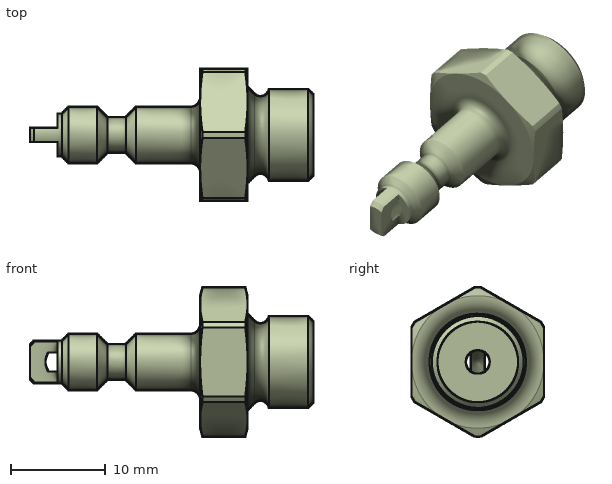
import cadquery as cq
import math

length = 30.0
tab_end = 2.9
nose_start = 3.4
hex_start = 18.0
hex_end = 23.0
thread_start = 25.25

tab_diameter = 4.55
shaft_diameter = 6.0
neck_diameter = 3.8
thread_diameter = 9.72
relief_diameter = 8.22
bore_diameter = 2.5

neck_start = 8.2
neck_end = 10.15

tab_chamfer = 0.45
thread_chamfer = 0.6
shaft_fillet = 1.0
relief_radius = 0.9

across_flats = 14.0
across_rounded_corners = 15.8
hex_chamfer_angle = math.radians(15)

tab_thickness = 1.53
bore_start = 1.95
drill_tip_angle = math.radians(118)


def revolved_profile(start, profile):
    """Revolve (x, radius) points about X, beginning on the axis at x = start."""
    points = [(start, 0)] + profile + [(profile[-1][0], 0)]
    return cq.Workplane("XY").polyline(points).close().revolve(360, (0, 0), (1, 0))


def turned_body():
    tab_r = tab_diameter / 2
    shaft_r = shaft_diameter / 2
    neck_r = neck_diameter / 2
    thread_r = thread_diameter / 2
    nose_rise = shaft_r - tab_r
    neck_depth = shaft_r - neck_r
    diagonal = math.sqrt(0.5)

    arc_r = relief_diameter / 2 + relief_radius
    arc_x = thread_start - math.sqrt(relief_radius**2 - (arc_r - thread_r) ** 2)
    cone_end_x = arc_x - relief_radius * diagonal
    cone_end_r = arc_r - relief_radius * diagonal
    cone_start_r = cone_end_r + cone_end_x - hex_end

    return (
        cq.Workplane("XY")
        .lineTo(0, tab_r - tab_chamfer)
        .lineTo(tab_chamfer, tab_r)
        .lineTo(nose_start, tab_r)
        .lineTo(nose_start + nose_rise, shaft_r)
        .lineTo(neck_start - neck_depth, shaft_r)
        .lineTo(neck_start, neck_r)
        .lineTo(neck_end, neck_r)
        .lineTo(neck_end + neck_depth, shaft_r)
        .lineTo(hex_start - shaft_fillet, shaft_r)
        .threePointArc(
            (hex_start - shaft_fillet * (1 - diagonal), shaft_r + shaft_fillet * (1 - diagonal)),
            (hex_start, shaft_r + shaft_fillet),
        )
        .lineTo(hex_end, shaft_r + shaft_fillet)
        .lineTo(hex_end, cone_start_r)
        .lineTo(cone_end_x, cone_end_r)
        .threePointArc((arc_x, relief_diameter / 2), (thread_start, thread_r))
        .lineTo(length - thread_chamfer, thread_r)
        .lineTo(length, thread_r - thread_chamfer)
        .lineTo(length, 0)
        .close()
        .revolve(360, (0, 0), (1, 0))
    )


def hexagon():
    """Hexagon with corners on Z, rounded corners and both faces chamfered."""
    prism = (
        cq.Workplane("YZ", origin=(hex_start, 0, 0))
        .polygon(6, across_flats / math.cos(math.pi / 6))
        .extrude(hex_end - hex_start)
        .rotate((0, 0, 0), (1, 0, 0), 90)
    )
    flat_r = across_flats / 2
    corner_r = across_rounded_corners / 2
    chamfer_length = (corner_r - flat_r) * math.tan(hex_chamfer_angle)
    envelope = revolved_profile(
        hex_start,
        [
            (hex_start, flat_r),
            (hex_start + chamfer_length, corner_r),
            (hex_end - chamfer_length, corner_r),
            (hex_end, flat_r),
        ],
    )
    return prism.intersect(envelope)


def tab_side_cut(side):
    """Material removed beside the tab; side is +1 or -1 along Y."""
    offset = (tab_thickness + tab_diameter) / 2
    return (
        cq.Workplane("XY")
        .box(tab_end, tab_diameter, 2 * tab_diameter, centered=(False, True, True))
        .translate((0, side * offset, 0))
    )


def drilled_bore():
    """Bore from the thread end, closed by a drill point inside the tab."""
    bore_r = bore_diameter / 2
    tip_length = bore_r / math.tan(drill_tip_angle / 2)
    return revolved_profile(bore_start - tip_length, [(bore_start, bore_r), (length, bore_r)])


result = turned_body().union(hexagon())
for side in (-1, 1):
    result = result.cut(tab_side_cut(side))
result = result.cut(drilled_bore())